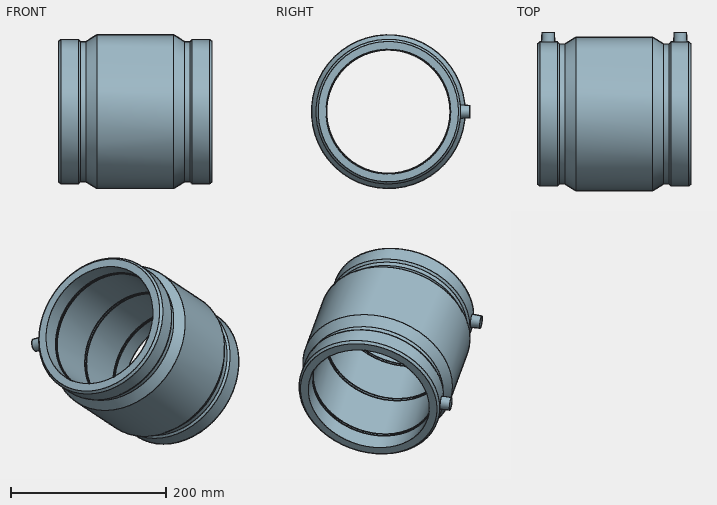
import cadquery as cq

LENGTH = 198.0
BODY_DIAMETER = 198.0
COLLAR_DIAMETER = 186.12
NECK_DIAMETER = 180.54

END_CHAMFER_LENGTH = 3.3
COLLAR_LENGTH = 22.4
COLLAR_BACK_LENGTH = (COLLAR_DIAMETER - NECK_DIAMETER) / 2
NECK_LENGTH = 7.0
CONE_LENGTH = 14.0

BORE_DIAMETER = 160.0
STOP_DIAMETER = 158.4
STOP_WIDTH = 4.0
GROOVE_DIAMETER = 161.6
GROOVE_WIDTH = 3.5
GROOVE_DEPTH_FROM_END = 25.0

TERMINAL_TOP_Y = 105.0
TERMINAL_TOP_DIAMETER = 16.3
TERMINAL_BASE_DIAMETER = 17.4
TERMINAL_BASE_Y = COLLAR_DIAMETER / 2
TERMINAL_ROOT_Y = 85.0
TERMINAL_END_OFFSET = 14.0


def end_outline(side):
    """Outer (x, radius) points of one end, from the end face to the body."""
    chamfer_end = LENGTH / 2 - END_CHAMFER_LENGTH
    collar_end = chamfer_end - COLLAR_LENGTH
    neck_start = collar_end - COLLAR_BACK_LENGTH
    neck_end = neck_start - NECK_LENGTH
    cone_end = neck_end - CONE_LENGTH
    return [
        (side * LENGTH / 2, NECK_DIAMETER / 2),
        (side * chamfer_end, COLLAR_DIAMETER / 2),
        (side * collar_end, COLLAR_DIAMETER / 2),
        (side * neck_start, NECK_DIAMETER / 2),
        (side * neck_end, NECK_DIAMETER / 2),
        (side * cone_end, BODY_DIAMETER / 2),
    ]


def bore_outline(side):
    """Inner (x, radius) points of one end, from the end face to the stop ring."""
    groove_start = LENGTH / 2 - GROOVE_DEPTH_FROM_END
    groove_end = groove_start - GROOVE_WIDTH
    stop_edge = STOP_WIDTH / 2
    return [
        (side * LENGTH / 2, BORE_DIAMETER / 2),
        (side * groove_start, BORE_DIAMETER / 2),
        (side * groove_start, GROOVE_DIAMETER / 2),
        (side * groove_end, GROOVE_DIAMETER / 2),
        (side * groove_end, BORE_DIAMETER / 2),
        (side * stop_edge, BORE_DIAMETER / 2),
        (side * stop_edge, STOP_DIAMETER / 2),
    ]


def revolve_about_x(points):
    return cq.Workplane("XY").polyline(points).close().revolve(360, (0, 0, 0), (1, 0, 0))


def make_sleeve():
    outer = end_outline(-1) + end_outline(1)[::-1]
    inner = bore_outline(1) + bore_outline(-1)[::-1]
    return revolve_about_x(outer + inner)


def make_terminal(side):
    """Tapered terminal with a straight root sunk into the collar wall."""
    top_radius = TERMINAL_TOP_DIAMETER / 2
    base_radius = TERMINAL_BASE_DIAMETER / 2
    half_section = [
        (0, TERMINAL_ROOT_Y),
        (base_radius, TERMINAL_ROOT_Y),
        (base_radius, TERMINAL_BASE_Y),
        (top_radius, TERMINAL_TOP_Y),
        (0, TERMINAL_TOP_Y),
    ]
    terminal = cq.Workplane("XY").polyline(half_section).close().revolve(360, (0, 0, 0), (0, 1, 0))
    return terminal.translate((side * (LENGTH / 2 - TERMINAL_END_OFFSET), 0, 0))


result = make_sleeve()
for end in (-1, 1):
    result = result.union(make_terminal(end))